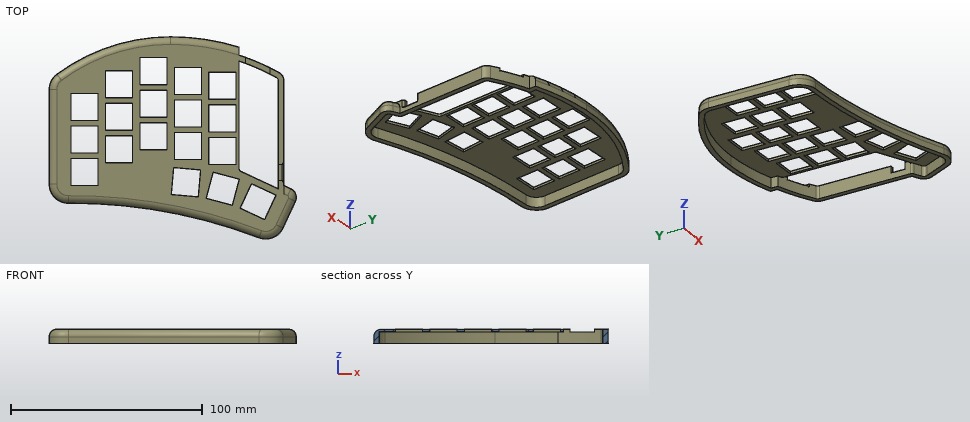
import cadquery as cq
import math

HEIGHT = 7.6
RIM_FILLET = 4.0
PLATE_THICKNESS = 1.5
WALL_THICKNESS = 3.0

PEAK = (63.5, 105.69)
TOP_LEFT_RADIUS = 100.0
TOP_RIGHT_RADIUS = 120.0
BOTTOM_ARC_CENTER = (11.9, -254.93)
BOTTOM_ARC_RADIUS = 273.6
CORNER_RADIUS = 10.0
THUMB_ANGLE = 25.0
THUMB_CORNER = (130.75, 24.2)
THUMB_CORNER_RADIUS = 5.0

BAY_LEFT_X = 99.2
BAY_RIGHT_X = 122.6
BAY_OVERLAP = 1.5 * RIM_FILLET
BAY_CORNER_RADIUS = 1.75
BAY_THUMB_MARGIN = 2.78
RIM_STEP_X = 110.2
RIM_STEP_RADIUS = 5.0
RIM_TRIM_Y = 60.0

TOP_NOTCH_START_X = 102.6
TOP_NOTCH_END_X = 115.3
TOP_NOTCH_BACK_Y = 80.0
TOP_NOTCH_DEPTH = PLATE_THICKNESS
SIDE_NOTCH_CENTER_Y = 34.8
SIDE_NOTCH_WIDTH = 8.5
SIDE_NOTCH_DEPTH = 4.0
SIDE_NOTCH_CHAMFER = 1.0
CHAMFER_ANGLE = 45.0

KEY_SIZE = 14.0
KEY_PITCH_X = 18.0
KEY_PITCH_Y = 17.0
KEY_ROWS = 3
FIRST_KEY_X = 18.47
FIRST_COLUMN_MID_Y = 52.0
COLUMN_STAGGER = (0.0, 0.7, 1.1, 0.8, 0.65)
THUMB_KEYS = (
    (71.45, 29.7, 5.0),
    (90.65, 26.3, 15.0),
    (109.1, 19.55, THUMB_ANGLE),
)

SIN_THUMB = math.sin(math.radians(THUMB_ANGLE))
COS_THUMB = math.cos(math.radians(THUMB_ANGLE))


def circle_y(center, radius, x):
    """Y of the upper half of a circle at the given X."""
    return center[1] + math.sqrt(radius ** 2 - (x - center[0]) ** 2)


def top_point(x):
    """Point of the top edge, two arcs sharing a level tangent at the peak."""
    radius = TOP_LEFT_RADIUS if x < PEAK[0] else TOP_RIGHT_RADIUS
    return (x, circle_y((PEAK[0], PEAK[1] - radius), radius, x))


def bottom_point(x):
    return (x, circle_y(BOTTOM_ARC_CENTER, BOTTOM_ARC_RADIUS, x))


def thumb_point(along, down):
    """Point from the thumb corner: leftwards along the top line, then down the right edge."""
    x = THUMB_CORNER[0] - along * COS_THUMB - down * SIN_THUMB
    y = THUMB_CORNER[1] + along * SIN_THUMB - down * COS_THUMB
    return (x, y)


def thumb_line_point(x, down=0.0):
    """Point at the given X on a line parallel to the top line of the thumb block."""
    along = (THUMB_CORNER[0] - down * SIN_THUMB - x) / COS_THUMB
    return thumb_point(along, down)


def bottom_right_corner():
    """Sharp corner where the right edge of the thumb block meets the bottom arc."""
    to_center_x = BOTTOM_ARC_CENTER[0] - THUMB_CORNER[0]
    to_center_y = BOTTOM_ARC_CENTER[1] - THUMB_CORNER[1]
    nearest = -to_center_x * SIN_THUMB - to_center_y * COS_THUMB
    distance_squared = to_center_x ** 2 + to_center_y ** 2 - nearest ** 2
    return thumb_point(0, nearest - math.sqrt(BOTTOM_ARC_RADIUS ** 2 - distance_squared))


def left_and_top(right_x):
    """Open outline from the lower left corner, up and over to the top edge at right_x."""
    return (
        cq.Workplane("XY")
        .moveTo(*bottom_point(0))
        .lineTo(*top_point(0))
        .threePointArc(top_point(PEAK[0] / 2), PEAK)
        .threePointArc(top_point((PEAK[0] + right_x) / 2), top_point(right_x))
    )


def close_along_bottom(outline):
    corner = bottom_right_corner()
    return outline.lineTo(*corner).threePointArc(bottom_point(corner[0] / 2), bottom_point(0)).close()


def round_corner(slab, point, radius):
    """Round the upright edge of a slab that stands at the given plan point."""
    reach = 0.1
    around = cq.selectors.BoxSelector(
        (point[0] - reach, point[1] - reach, -reach),
        (point[0] + reach, point[1] + reach, HEIGHT + reach),
    )
    return slab.edges("|Z").edges(around).fillet(radius)


def round_main_corners(slab):
    for point in (bottom_point(0), top_point(0), bottom_right_corner()):
        slab = round_corner(slab, point, CORNER_RADIUS)
    return slab


def make_rim_slab():
    """Filleted slab with the thumb block, stepped back where the bay wall goes."""
    outline = left_and_top(RIM_STEP_X).lineTo(*thumb_line_point(RIM_STEP_X)).lineTo(*THUMB_CORNER)
    slab = round_main_corners(close_along_bottom(outline).extrude(HEIGHT))
    slab = round_corner(slab, thumb_line_point(RIM_STEP_X), RIM_STEP_RADIUS)
    slab = round_corner(slab, THUMB_CORNER, THUMB_CORNER_RADIUS)
    slab = slab.faces(">Z").edges().fillet(RIM_FILLET)
    width = RIM_STEP_X - BAY_LEFT_X
    depth = PEAK[1] - RIM_TRIM_Y
    rim_end = cq.Workplane("XY").box(width, depth, HEIGHT, centered=False)
    return slab.cut(rim_end.translate((BAY_LEFT_X, RIM_TRIM_Y, 0)))


def make_bay_block():
    """Full-height block of the controller bay, recessed behind the fillet of the rim."""
    radius = TOP_RIGHT_RADIUS - RIM_FILLET
    center = (PEAK[0], PEAK[1] - TOP_RIGHT_RADIUS)
    middle_x = (BAY_LEFT_X + BAY_RIGHT_X) / 2
    top_right = (BAY_RIGHT_X, circle_y(center, radius, BAY_RIGHT_X))
    block = (
        cq.Workplane("XY")
        .moveTo(*thumb_line_point(BAY_LEFT_X, BAY_OVERLAP))
        .lineTo(*thumb_line_point(BAY_RIGHT_X, BAY_OVERLAP))
        .lineTo(*top_right)
        .threePointArc(
            (middle_x, circle_y(center, radius, middle_x)),
            (BAY_LEFT_X, circle_y(center, radius, BAY_LEFT_X)),
        )
        .close()
        .extrude(HEIGHT)
    )
    return round_corner(block, top_right, BAY_CORNER_RADIUS + WALL_THICKNESS)


def make_inner_prism(shell, height):
    """Prism that keeps an even wall inside the footprint of the shell."""
    footprint = shell.faces("<Z").wires().toPending()
    return footprint.offset2D(-WALL_THICKNESS, "intersection").extrude(height, combine=False)


def make_cavity(shell):
    """Hollow under the plate, rounded where the bay wall turns into the thumb block."""
    inner_corner = thumb_line_point(BAY_RIGHT_X - WALL_THICKNESS, WALL_THICKNESS)
    prism = make_inner_prism(shell, HEIGHT - PLATE_THICKNESS)
    return round_corner(prism, inner_corner, BAY_CORNER_RADIUS)


def make_bay_opening(shell):
    """Cut through the plate over the controller bay, bounded by the cavity walls."""
    lower_left = thumb_line_point(BAY_LEFT_X, BAY_THUMB_MARGIN)
    points = [
        lower_left,
        thumb_line_point(BAY_RIGHT_X, BAY_THUMB_MARGIN),
        (BAY_RIGHT_X, PEAK[1]),
        (BAY_LEFT_X, PEAK[1]),
    ]
    area = cq.Workplane("XY").polyline(points).close().extrude(HEIGHT)
    area = round_corner(area, lower_left, BAY_CORNER_RADIUS)
    return area.intersect(make_inner_prism(shell, HEIGHT))


def make_top_notch():
    """Lowered stretch of the upper bay wall."""
    width = TOP_NOTCH_END_X - TOP_NOTCH_START_X
    depth = PEAK[1] - TOP_NOTCH_BACK_Y
    notch = cq.Workplane("XY").box(width, depth, TOP_NOTCH_DEPTH, centered=False)
    return notch.translate((TOP_NOTCH_START_X, TOP_NOTCH_BACK_Y, HEIGHT - TOP_NOTCH_DEPTH))


def make_side_notch():
    """Connector notch in the right bay wall, flared at its outer edges."""
    floor_z = HEIGHT - SIDE_NOTCH_DEPTH
    half = SIDE_NOTCH_WIDTH / 2
    notch = (
        cq.Workplane("XY")
        .box(WALL_THICKNESS, SIDE_NOTCH_WIDTH, SIDE_NOTCH_DEPTH, centered=(False, True, False))
        .translate((BAY_RIGHT_X - WALL_THICKNESS, SIDE_NOTCH_CENTER_Y, floor_z))
    )
    flare = (
        cq.Workplane("YZ", origin=(BAY_RIGHT_X - SIDE_NOTCH_CHAMFER, SIDE_NOTCH_CENTER_Y, 0))
        .moveTo(-half, floor_z)
        .lineTo(half, floor_z)
        .lineTo(half, HEIGHT + SIDE_NOTCH_DEPTH)
        .lineTo(-half, HEIGHT + SIDE_NOTCH_DEPTH)
        .close()
        .extrude(SIDE_NOTCH_CHAMFER, taper=-CHAMFER_ANGLE)
    )
    return notch.union(flare)


def make_key_openings():
    places = []
    for column, stagger in enumerate(COLUMN_STAGGER):
        for row in range(KEY_ROWS):
            x = FIRST_KEY_X + column * KEY_PITCH_X
            y = FIRST_COLUMN_MID_Y + (stagger + row - 1) * KEY_PITCH_Y
            places.append((x, y, 0.0))
    places.extend(THUMB_KEYS)

    openings = cq.Workplane("XY")
    for x, y, turn in places:
        key = cq.Workplane("XY").box(KEY_SIZE, KEY_SIZE, HEIGHT, centered=(True, True, False))
        openings.add(key.rotate((0, 0, 0), (0, 0, 1), -turn).translate((x, y, 0)))
    return openings.combine()


shell = make_rim_slab().union(make_bay_block())
result = (
    shell.cut(make_cavity(shell))
    .cut(make_bay_opening(shell))
    .cut(make_top_notch())
    .cut(make_side_notch())
    .cut(make_key_openings())
)